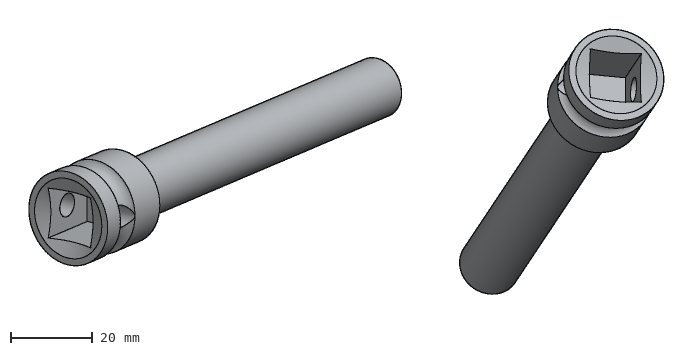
import cadquery as cq
import math

length = 127.0
head_diameter = 24.0
shank_diameter = 15.1

head_length = 21.5
shoulder_length = 2.8
groove_center = 8.3
groove_width = 6.0
groove_depth = 2.3

drive_width = 12.8
drive_depth = 16.5
lead_in_diameter = 20.5
lead_in_angle = 68.0

pin_hole_diameter = 6.0

head_radius = head_diameter / 2
shank_radius = shank_diameter / 2
drive_end = -length / 2
groove_y = drive_end + groove_center


def make_body():
    """Revolve the shank, sloping shoulder and grooved head about Y."""
    head_end = drive_end + head_length
    return (
        cq.Workplane("XY")
        .moveTo(0, drive_end)
        .lineTo(head_radius, drive_end)
        .lineTo(head_radius, groove_y - groove_width / 2)
        .threePointArc(
            (head_radius - groove_depth, groove_y),
            (head_radius, groove_y + groove_width / 2),
        )
        .lineTo(head_radius, head_end)
        .lineTo(shank_radius, head_end + shoulder_length)
        .lineTo(shank_radius, length / 2)
        .lineTo(0, length / 2)
        .close()
        .revolve(360, (0, 0, 0), (0, 1, 0))
    )


def make_drive_recess():
    """Blind square pocket opening at the drive end."""
    return cq.Workplane("XY").box(
        drive_width, drive_depth, drive_width
    ).translate((0, drive_end + drive_depth / 2, 0))


def make_lead_in():
    """Cone that relieves the corners of the square."""
    lead_in_radius = lead_in_diameter / 2
    cone_depth = lead_in_radius / math.tan(math.radians(lead_in_angle))
    return (
        cq.Workplane("XY")
        .moveTo(0, drive_end)
        .lineTo(lead_in_radius, drive_end)
        .lineTo(0, drive_end + cone_depth)
        .close()
        .revolve(360, (0, 0, 0), (0, 1, 0))
    )


def make_pin_hole():
    """Round hole along X through both walls at the groove."""
    return (
        cq.Workplane("YZ")
        .center(groove_y, 0)
        .circle(pin_hole_diameter / 2)
        .extrude(head_radius, both=True)
    )


result = make_body().cut(make_drive_recess()).cut(make_lead_in()).cut(make_pin_hole())